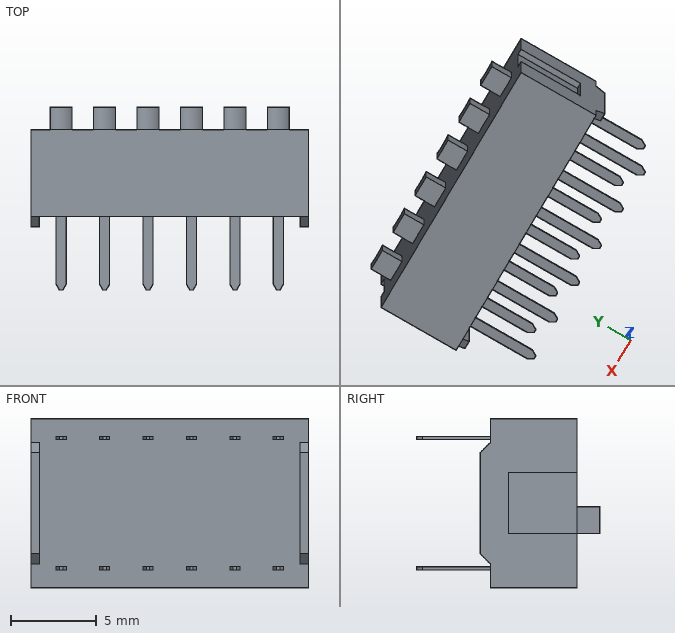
import cadquery as cq


POSITIONS = 6
PITCH = 2.54
ROW_SPACING = 7.62

BODY_WIDTH = 16.24
BODY_DEPTH = 5.08
BODY_HEIGHT = 9.9

WINDOW_HEIGHT = 3.56
WINDOW_LENGTH = 4.02
WINDOW_DEPTH = 0.35

RAIL_WIDTH = 0.5
RAIL_DEPTH = 0.6
RAIL_HEIGHT = 7.1
RAIL_CHAMFER = RAIL_DEPTH

PIN_WIDTH = 0.6
PIN_THICKNESS = 0.2
PIN_LENGTH = 4.3
PIN_TIP_LENGTH = 0.35
PIN_TIP_WIDTH = 0.2

SLIDER_WIDTH = 1.3
SLIDER_HEIGHT = 1.58
SLIDER_LENGTH = 1.32
SLIDER_HOLLOW = 0.25
SLIDER_BOTTOM = -WINDOW_HEIGHT / 2

COLUMN_XS = [PITCH * (i - (POSITIONS - 1) / 2) for i in range(POSITIONS)]
END_SIDES = (-1, 1)


def block(size, center):
    """Box of the given (x, y, z) size about a center point."""
    return cq.Workplane("XY").box(*size).translate(center)


def make_body():
    return block((BODY_WIDTH, BODY_DEPTH, BODY_HEIGHT), (0, BODY_DEPTH / 2, 0))


def make_window(side):
    """Cutter for the window in one end wall."""
    x = side * (BODY_WIDTH - WINDOW_DEPTH) / 2
    y = BODY_DEPTH - WINDOW_LENGTH / 2
    return block((WINDOW_DEPTH, WINDOW_LENGTH, WINDOW_HEIGHT), (x, y, 0))


def make_rail(side):
    """Standoff rail with both ends sloped back to the seating face."""
    base = RAIL_HEIGHT / 2
    crest = base - RAIL_CHAMFER
    rail = (
        cq.Workplane("YZ")
        .polyline([(0, -base), (-RAIL_DEPTH, -crest), (-RAIL_DEPTH, crest), (0, base)])
        .close()
        .extrude(RAIL_WIDTH / 2, both=True)
    )
    return rail.translate((side * (BODY_WIDTH - RAIL_WIDTH) / 2, 0, 0))


def make_pin(x, z):
    """Flat pin standing on the seating face, tapered in width at its tip."""
    half_width = PIN_WIDTH / 2
    half_tip = PIN_TIP_WIDTH / 2
    shoulder = -(PIN_LENGTH - PIN_TIP_LENGTH)
    pin = (
        cq.Workplane("XY")
        .moveTo(-half_width, 0)
        .lineTo(-half_width, shoulder)
        .lineTo(-half_tip, -PIN_LENGTH)
        .lineTo(half_tip, -PIN_LENGTH)
        .lineTo(half_width, shoulder)
        .lineTo(half_width, 0)
        .close()
        .extrude(PIN_THICKNESS / 2, both=True)
    )
    return pin.translate((x, 0, z))


def make_slider(x):
    """Slider end whose top is a concave arc across its full width."""
    half_width = SLIDER_WIDTH / 2
    slider = (
        cq.Workplane("XZ")
        .moveTo(-half_width, 0)
        .lineTo(half_width, 0)
        .lineTo(half_width, SLIDER_HEIGHT)
        .threePointArc((0, SLIDER_HEIGHT - SLIDER_HOLLOW), (-half_width, SLIDER_HEIGHT))
        .close()
        .extrude(-SLIDER_LENGTH)
    )
    return slider.translate((x, BODY_DEPTH, SLIDER_BOTTOM))


result = make_body()
for end in END_SIDES:
    result = result.cut(make_window(end)).union(make_rail(end))
for column_x in COLUMN_XS:
    result = result.union(make_slider(column_x))
    for row_z in (-ROW_SPACING / 2, ROW_SPACING / 2):
        result = result.union(make_pin(column_x, row_z))